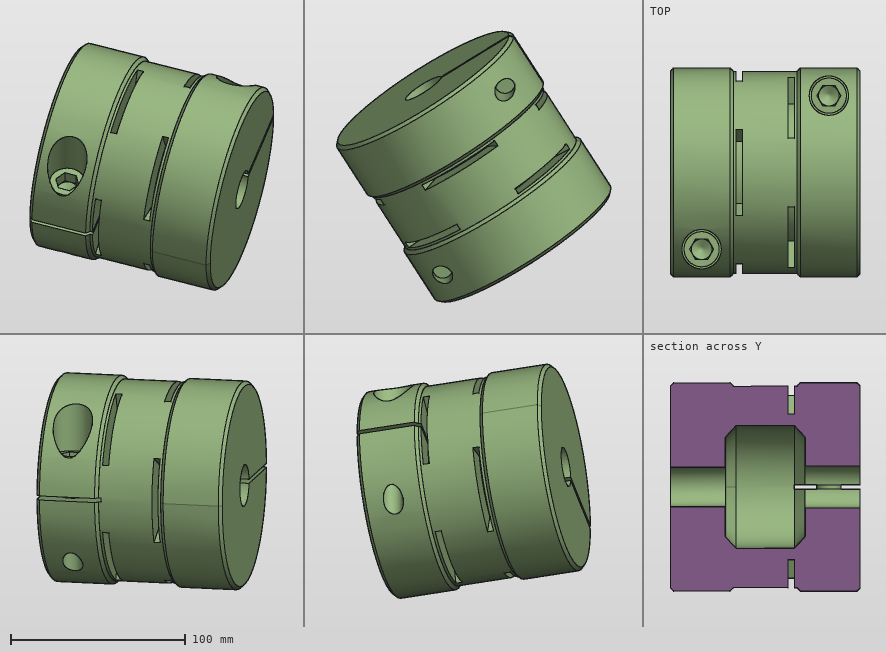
import cadquery as cq
import math

length = 109.0
hub_radius = 60.0
hub_length = 36.2
hub_chamfer = 1.9
waist_radius = 58.0
left_bore_radius = 12.0
right_bore_radius = 11.3

chamber_radius = 35.2
chamber_end_radius = 28.5
chamber_taper_length = 6.2
chamber_fillet = 1.8

slot_start = 37.8
slot_width = 3.6
slot_floor_radius = 41.9
slot_angle = 50.2
slots_per_ring = 4
slot_pitch = 360 / slots_per_ring

slit_width = 2.4
screw_x = 18.0
screw_offset = 44.0
shank_radius = 7.1
head_radius = 10.1
head_height = 14.0
head_hole_radius = 11.3
head_seat_z = 9.0
thread_hole_radius = 5.8
screw_tip_z = -24.0
socket_flats = 11.9
socket_depth = 7.2
socket_tip_depth = 3.5


def x_cylinder(radius, start, size):
    """Cylinder along the coupling axis."""
    return cq.Workplane("YZ").workplane(offset=start).circle(radius).extrude(size)


def z_cylinder(radius, bottom, top):
    """Vertical cylinder on the axis of the clamp screw."""
    plane = cq.Workplane("XY").workplane(offset=bottom).center(screw_x, -screw_offset)
    return plane.circle(radius).extrude(top - bottom)


def turn_half(shape):
    """Turn a shape half a turn about the vertical line through the middle of the coupling."""
    middle = length / 2
    return shape.rotate((middle, 0, 0), (middle, 0, 1), 180)


def make_hub():
    """Solid hub with both rims chamfered."""
    hub = x_cylinder(hub_radius, 0, hub_length)
    return hub.edges().chamfer(hub_chamfer)


def make_chamber():
    """Round cavity with a tapered and filleted end on each side."""
    core = x_cylinder(chamber_radius, slot_start, length - 2 * slot_start)
    taper = (
        cq.Workplane("YZ")
        .workplane(offset=slot_start)
        .circle(chamber_radius)
        .workplane(offset=-chamber_taper_length)
        .circle(chamber_end_radius)
        .loft()
    )
    taper = taper.faces("<X").edges().fillet(chamber_fillet)
    return core.union(taper).union(turn_half(taper))


def make_slot(start, centre_angle):
    """Cutter for one slot with radial ends."""
    half_width = hub_radius * math.tan(math.radians(slot_angle / 2))
    wedge = (
        cq.Workplane("YZ")
        .workplane(offset=start)
        .polyline([(0, 0), (hub_radius, half_width), (hub_radius, -half_width)])
        .close()
        .extrude(slot_width)
    )
    cutter = wedge.cut(x_cylinder(slot_floor_radius, start, slot_width))
    return cutter.rotate((0, 0, 0), (1, 0, 0), centre_angle)


def make_clamp_cut():
    """Slit from the bore to the -Y side, with the holes for the screw head and thread."""
    slit = cq.Workplane("XY").box(slot_start, hub_radius, slit_width, centered=(False, False, True))
    slit = slit.translate((0, -hub_radius, 0))
    head_hole = z_cylinder(head_hole_radius, head_seat_z, hub_radius)
    thread_hole = z_cylinder(thread_hole_radius, -hub_radius, screw_tip_z)
    return slit.union(head_hole).union(thread_hole)


def make_screw():
    """Socket head screw that bridges the slit."""
    head_top = head_seat_z + head_height
    shank = z_cylinder(shank_radius, screw_tip_z, head_seat_z)
    head = z_cylinder(head_radius, head_seat_z, head_top)
    socket_floor = head_top - socket_depth
    socket = (
        cq.Workplane("XY")
        .workplane(offset=socket_floor)
        .center(screw_x, -screw_offset)
        .polygon(6, socket_flats / math.cos(math.pi / 6))
        .extrude(socket_depth)
    )
    tip_base = cq.Vector(screw_x, -screw_offset, socket_floor)
    tip = cq.Solid.makeCone(socket_flats / 2, 0, socket_tip_depth, tip_base, cq.Vector(0, 0, -1))
    return shank.union(head).cut(socket).cut(cq.Workplane(tip))


hub = make_hub()
body = x_cylinder(waist_radius, hub_chamfer, length - 2 * hub_chamfer)
body = body.union(hub).union(turn_half(hub))
body = body.cut(x_cylinder(left_bore_radius, 0, length / 2))
body = body.cut(x_cylinder(right_bore_radius, length / 2, length / 2))
body = body.cut(make_chamber())

second_slot_start = length - slot_start - slot_width
for index in range(slots_per_ring):
    angle = index * slot_pitch
    body = body.cut(make_slot(slot_start, angle))
    body = body.cut(make_slot(second_slot_start, angle + slot_pitch / 2))

clamp_cut = make_clamp_cut()
screw = make_screw()
body = body.cut(clamp_cut).cut(turn_half(clamp_cut))
result = body.union(screw).union(turn_half(screw))